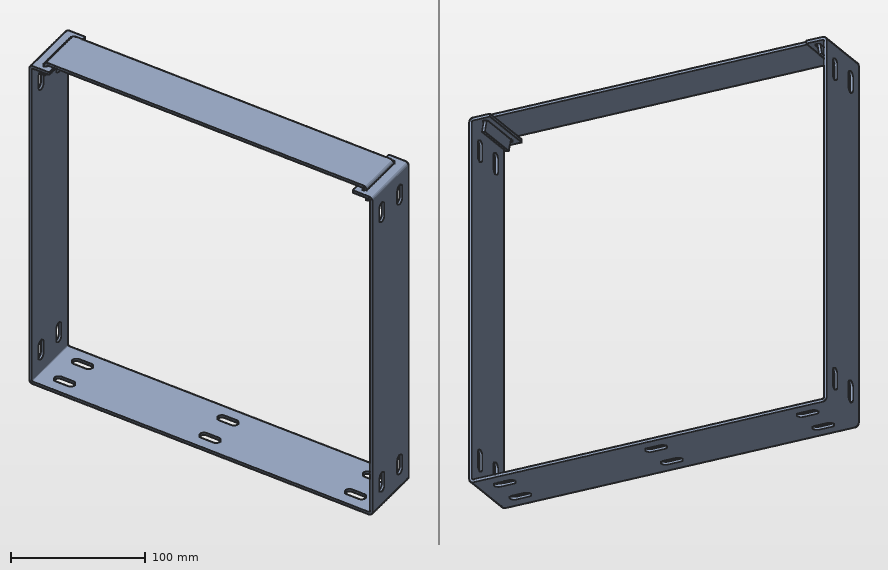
import cadquery as cq
import math

overall_width = 302.5
overall_depth = 50.8
overall_height = 304.0

sheet = 2.5
bend_inner_radius = sheet / 2
bend_outer_radius = bend_inner_radius + sheet

frame_height = overall_height - sheet
flange_length = 17.5

slot_length = 17.5
slot_width = 7.0
slot_row_spacing = 25.0
side_slot_bottom = 23.7
side_slot_top = 279.5
floor_slot_reach = 128.0

cover_depth = 38.0
cover_flat_width = 276.7
tab_lean = 10.0
tab_length = 9.7

tab_slot_width = 4.3
tab_slot_depth = cover_depth + tab_slot_width


def centred_box(width, depth, z_bottom, z_top):
    """Box centred in X and Y between two heights."""
    height = z_top - z_bottom
    return cq.Workplane("XY").box(width, depth, height).translate((0, 0, (z_bottom + z_top) / 2))


def make_frame_band():
    """Rectangular band with rounded bends, open between its two top flanges."""
    band = centred_box(overall_width, overall_depth, 0, frame_height)
    band = band.edges("|Y").fillet(bend_outer_radius)
    inside = centred_box(overall_width - 2 * sheet, overall_depth, sheet, frame_height - sheet)
    inside = inside.edges("|Y").fillet(bend_inner_radius)
    opening_width = overall_width - 2 * flange_length
    opening = centred_box(opening_width, overall_depth, bend_outer_radius, frame_height)
    return band.cut(inside).cut(opening)


def make_side_slots():
    """Upright slots running through both side walls."""
    heights = (side_slot_bottom, side_slot_top)
    centres = [(side * slot_row_spacing / 2, z) for side in (-1, 1) for z in heights]
    slots = cq.Workplane("YZ").pushPoints(centres).slot2D(slot_length, slot_width, 90)
    return slots.extrude(overall_width / 2, both=True)


def make_floor_slots():
    """Three pairs of slots through the floor."""
    places = (-floor_slot_reach, 0, floor_slot_reach)
    centres = [(x, side * slot_row_spacing / 2) for x in places for side in (-1, 1)]
    return cq.Workplane("XY").pushPoints(centres).slot2D(slot_length, slot_width).extrude(sheet)


def make_tab_slots():
    """Openings through the flanges, each starting where the cover's bend starts."""
    reach = (cover_flat_width + tab_slot_width) / 2
    slots = cq.Workplane("XY", origin=(0, 0, frame_height - sheet)).pushPoints([(-reach, 0), (reach, 0)])
    return slots.slot2D(tab_slot_depth, tab_slot_width, 90).extrude(sheet)


def make_frame():
    return make_frame_band().cut(make_side_slots()).cut(make_floor_slots()).cut(make_tab_slots())


def bend_point(radius, angle, distance=0.0):
    """Point on the right-hand bend at an angle above +X, then a distance down the tangent."""
    turn = math.radians(angle)
    x = cover_flat_width / 2 + radius * math.cos(turn) + distance * math.sin(turn)
    z = overall_height - bend_outer_radius + radius * math.sin(turn) - distance * math.cos(turn)
    return (x, z)


def make_cover():
    """Strip lying on the flanges; one half is drawn and then mirrored."""
    mid_bend = (90 + tab_lean) / 2
    half = (
        cq.Workplane("XZ")
        .moveTo(0, overall_height)
        .lineTo(*bend_point(bend_outer_radius, 90))
        .threePointArc(bend_point(bend_outer_radius, mid_bend), bend_point(bend_outer_radius, tab_lean))
        .lineTo(*bend_point(bend_outer_radius, tab_lean, tab_length))
        .lineTo(*bend_point(bend_inner_radius, tab_lean, tab_length))
        .lineTo(*bend_point(bend_inner_radius, tab_lean))
        .threePointArc(bend_point(bend_inner_radius, mid_bend), bend_point(bend_inner_radius, 90))
        .lineTo(0, overall_height - sheet)
        .close()
        .extrude(cover_depth / 2, both=True)
    )
    return half.union(half.mirror("YZ")).clean()


frame = make_frame()
cover = make_cover()
result = cq.Compound.makeCompound([frame.val(), cover.val()])